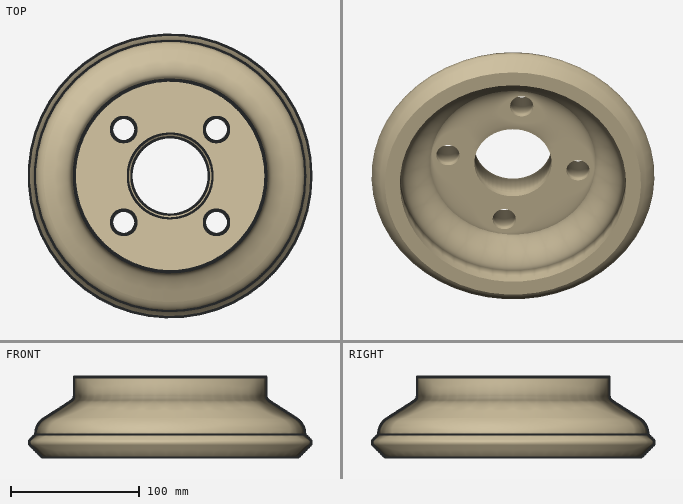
import cadquery as cq
import math

OUTER_DIAMETER = 219.8
HEIGHT = 63.0

BOSS_RADIUS = 150.0 / 2
BOSS_CHAMFER = 0.9
NECK_TOP_Z = 47.7
NECK_FOOT_RADIUS = 76.5
NECK_FOOT_Z = 44.5
NECK_BULGE = 0.5
SHOULDER_RADIUS = 210.2 / 2
SHOULDER_ROUND = 15.2
SLOPE_ANGLE = math.radians(33.5)

PLATE_UNDERSIDE_Z = 32.5
CAVITY_TOP_RADIUS = 128.5 / 2

BORE_RADIUS = 60.2 / 2
LIP_RADIUS = 60.0 / 2
LIP_TOP_Z = 38.3
BORE_CHAMFER = 2.9

BOLT_SPACING = 72.0
BOLT_HOLE_RADIUS = 18.0 / 2
BOLT_CHAMFER = 0.9

RIM_TOP_Z = 17.8
RIM_INNER_RADIUS = 88.0
RIM_EDGE_ROUND = 3.0


def revolve(profile):
    """Turn a radius-Z outline around the Z axis."""
    return profile.close().revolve(360, (0, 0, 0), (0, 1, 0))


def point_on_arc(center, radius, angle):
    return (center[0] + radius * math.cos(angle), center[1] + radius * math.sin(angle))


def make_blank():
    """Hollow dome, still without its bore and bolt holes."""
    round_center = (SHOULDER_RADIUS - SHOULDER_ROUND, RIM_TOP_Z)
    round_end_angle = math.pi / 2 - SLOPE_ANGLE
    round_middle = point_on_arc(round_center, SHOULDER_ROUND, round_end_angle / 2)
    round_end = point_on_arc(round_center, SHOULDER_ROUND, round_end_angle)
    neck_middle = (
        (BOSS_RADIUS + NECK_FOOT_RADIUS) / 2 - NECK_BULGE,
        (NECK_TOP_Z + NECK_FOOT_Z) / 2,
    )
    profile = (
        cq.Workplane("XZ")
        .moveTo(0, PLATE_UNDERSIDE_Z)
        .lineTo(CAVITY_TOP_RADIUS, PLATE_UNDERSIDE_Z)
        .lineTo(RIM_INNER_RADIUS, RIM_TOP_Z)
        .lineTo(SHOULDER_RADIUS, RIM_TOP_Z)
        .threePointArc(round_middle, round_end)
        .lineTo(NECK_FOOT_RADIUS, NECK_FOOT_Z)
        .threePointArc(neck_middle, (BOSS_RADIUS, NECK_TOP_Z))
        .lineTo(BOSS_RADIUS, HEIGHT - BOSS_CHAMFER)
        .lineTo(BOSS_RADIUS - BOSS_CHAMFER, HEIGHT)
        .lineTo(0, HEIGHT)
    )
    return revolve(profile)


def make_bore_cutter():
    """Chamfered bore with its lower lip."""
    profile = (
        cq.Workplane("XZ")
        .moveTo(0, PLATE_UNDERSIDE_Z)
        .lineTo(LIP_RADIUS, PLATE_UNDERSIDE_Z)
        .lineTo(LIP_RADIUS, LIP_TOP_Z)
        .lineTo(BORE_RADIUS, LIP_TOP_Z)
        .lineTo(BORE_RADIUS, HEIGHT - BORE_CHAMFER)
        .lineTo(BORE_RADIUS + BORE_CHAMFER, HEIGHT)
        .lineTo(0, HEIGHT)
    )
    return revolve(profile)


def make_bolt_hole_cutter():
    """Chamfered through hole, centred on the Z axis."""
    depth = HEIGHT - PLATE_UNDERSIDE_Z
    mouth_radius = BOLT_HOLE_RADIUS + BOLT_CHAMFER
    hole = cq.Workplane("XY").workplane(offset=PLATE_UNDERSIDE_Z).circle(BOLT_HOLE_RADIUS).extrude(depth)
    mouth = cq.Solid.makeCone(
        BOLT_HOLE_RADIUS, mouth_radius, BOLT_CHAMFER, pnt=cq.Vector(0, 0, HEIGHT - BOLT_CHAMFER)
    )
    return hole.union(cq.Workplane(mouth))


def make_wheel_body():
    body = make_blank().cut(make_bore_cutter())
    bolt_hole = make_bolt_hole_cutter()
    for x in (-BOLT_SPACING / 2, BOLT_SPACING / 2):
        for y in (-BOLT_SPACING / 2, BOLT_SPACING / 2):
            body = body.cut(bolt_hole.translate((x, y, 0)))
    return body


def make_rim_ring():
    """Ring whose outermost edge is an arc tangent to both flanks."""
    outer_radius = OUTER_DIAMETER / 2
    tip_overhang = RIM_EDGE_ROUND * (math.sqrt(2) - 1)
    tip_radius = outer_radius + tip_overhang
    tip_z = RIM_TOP_Z - (tip_radius - SHOULDER_RADIUS)
    foot_radius = tip_radius - tip_z
    edge_center = (outer_radius - RIM_EDGE_ROUND, tip_z)
    lower_tangent = point_on_arc(edge_center, RIM_EDGE_ROUND, -math.pi / 4)
    upper_tangent = point_on_arc(edge_center, RIM_EDGE_ROUND, math.pi / 4)
    profile = (
        cq.Workplane("XZ")
        .moveTo(RIM_INNER_RADIUS, 0)
        .lineTo(foot_radius, 0)
        .lineTo(*lower_tangent)
        .threePointArc((outer_radius, tip_z), upper_tangent)
        .lineTo(SHOULDER_RADIUS, RIM_TOP_Z)
        .lineTo(RIM_INNER_RADIUS, RIM_TOP_Z)
    )
    return revolve(profile)


wheel_body = make_wheel_body()
rim_ring = make_rim_ring()

result = cq.Compound.makeCompound([wheel_body.val(), rim_ring.val()])